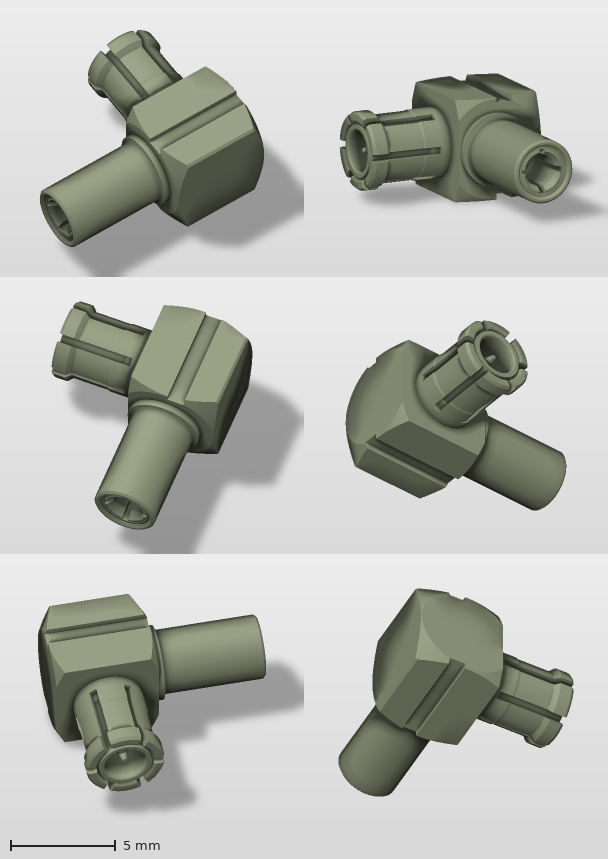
import cadquery as cq
import math


housing_size = 5.0
housing_half = housing_size / 2
housing_left = -1.91
housing_right = 2.49
back_edge_chamfer = 0.11
end_bevel_flat_radius = 2.45
end_bevel_slope = math.tan(math.radians(30))
groove_left = 0.11
groove_width = 0.83
groove_depth = 0.3

plug_end = -6.11
finger_lip_radius = 1.91
finger_neck_radius = 1.66
plug_root_radius = 1.7
finger_bore_radius = 1.39
finger_mouth_round = 0.14
finger_end_chamfer = (0.14, 0.1)
lip_back = -5.37
neck_start = -5.12
neck_end = -3.33
root_start = -3.22
finger_count = 6
finger_slot_width = 0.4
finger_slot_root = -2.4

sleeve_end = -6.07
sleeve_outer_radius = 1.28
sleeve_bore_radius = 1.01
sleeve_mouth_round = 0.11
sleeve_flare_root = -2.73

pin_end = -5.78
pin_radius = 0.27
pin_tip_radius = 0.1
pin_taper_length = 0.6

overall_length = 10.3
tube_end = housing_half - overall_length
tube_diameter = 3.1
tube_radius = tube_diameter / 2
tube_end_chamfer = 0.1
collar_radius = 1.8
collar_length = 0.32
tube_root_fillet = 0.2
tube_mouth_radius = 1.35
tube_mouth_bevel_length = 0.12
tube_bore_radius = 1.24

ferrule_recess = 0.16
ferrule_outer_radius = 1.1
ferrule_tip_outer_radius = 1.0
ferrule_tip_inner_radius = 0.96
ferrule_tip_bevel_length = 0.03
ferrule_bore_radius = 0.77
ferrule_taper_length = 0.28
ferrule_bore_depth = 2.58
ferrule_floor_radius = 0.61
ferrule_slot_count = 4
ferrule_slot_width = 0.3
ferrule_slot_depth = 2.06


def revolve(profile):
    """Spin a profile drawn as (axial position, radius) about its axial direction."""
    return profile.close().revolve(360, (0, 0, 0), (1, 0, 0))


def make_housing():
    body = (
        cq.Workplane("XY")
        .box(housing_right - housing_left, housing_size, housing_size)
        .translate(((housing_left + housing_right) / 2, 0, 0))
        .edges(">X and |Y")
        .chamfer(back_edge_chamfer)
    )

    spindle_radius = housing_size
    bevel_length = (spindle_radius - end_bevel_flat_radius) * end_bevel_slope
    spindle = revolve(
        cq.Workplane("YZ")
        .moveTo(-housing_half, 0)
        .lineTo(-housing_half, end_bevel_flat_radius)
        .lineTo(-housing_half + bevel_length, spindle_radius)
        .lineTo(housing_half - bevel_length, spindle_radius)
        .lineTo(housing_half, end_bevel_flat_radius)
        .lineTo(housing_half, 0)
    )
    body = body.intersect(spindle)

    groove = cq.Workplane("XY").box(groove_width, housing_size, 2 * groove_depth)
    groove_center = groove_left + groove_width / 2
    for z in (-housing_half, housing_half):
        body = body.cut(groove.translate((groove_center, 0, z)))
    return body


def make_fingers():
    chamfer_length, chamfer_height = finger_end_chamfer
    mouth_radius = finger_bore_radius + finger_mouth_round
    shift = finger_mouth_round * (1 - math.sqrt(0.5))
    fingers = revolve(
        cq.Workplane("XZ")
        .moveTo(plug_end, mouth_radius)
        .lineTo(plug_end, finger_lip_radius - chamfer_height)
        .lineTo(plug_end + chamfer_length, finger_lip_radius)
        .lineTo(lip_back, finger_lip_radius)
        .lineTo(neck_start, finger_neck_radius)
        .lineTo(neck_end, finger_neck_radius)
        .lineTo(root_start, plug_root_radius)
        .lineTo(housing_left, plug_root_radius)
        .lineTo(housing_left, finger_bore_radius)
        .lineTo(plug_end + finger_mouth_round, finger_bore_radius)
        .threePointArc(
            (plug_end + shift, finger_bore_radius + shift),
            (plug_end, mouth_radius),
        )
    )

    slot_length = finger_slot_root - plug_end
    slot = (
        cq.Workplane("XY")
        .box(slot_length, finger_lip_radius, finger_slot_width)
        .translate((plug_end + slot_length / 2, finger_lip_radius / 2, 0))
    )
    for index in range(finger_count):
        fingers = fingers.cut(slot.rotate((0, 0, 0), (1, 0, 0), index * 360 / finger_count))
    return fingers


def make_sleeve():
    flare_length = finger_bore_radius - sleeve_outer_radius
    mouth_radius = sleeve_bore_radius + sleeve_mouth_round
    shift = sleeve_mouth_round * (1 - math.sqrt(0.5))
    return revolve(
        cq.Workplane("XZ")
        .moveTo(sleeve_end, mouth_radius)
        .lineTo(sleeve_end, sleeve_outer_radius)
        .lineTo(sleeve_flare_root - flare_length, sleeve_outer_radius)
        .lineTo(sleeve_flare_root, finger_bore_radius)
        .lineTo(housing_left, finger_bore_radius)
        .lineTo(housing_left, sleeve_bore_radius)
        .lineTo(sleeve_end + sleeve_mouth_round, sleeve_bore_radius)
        .threePointArc(
            (sleeve_end + shift, sleeve_bore_radius + shift),
            (sleeve_end, mouth_radius),
        )
    )


def make_pin():
    return revolve(
        cq.Workplane("XZ")
        .moveTo(pin_end, 0)
        .lineTo(pin_end, pin_tip_radius)
        .lineTo(pin_end + pin_taper_length, pin_radius)
        .lineTo(housing_left, pin_radius)
        .lineTo(housing_left, 0)
    )


def make_cable_tube():
    collar_end = -housing_half - collar_length
    fillet_end = collar_end - tube_root_fillet
    fillet_shift = tube_root_fillet * (1 - math.sqrt(0.5))
    ferrule_end = tube_end + ferrule_recess
    floor = ferrule_end + ferrule_bore_depth
    floor_chamfer = ferrule_bore_radius - ferrule_floor_radius

    tube = revolve(
        cq.Workplane("YZ")
        .moveTo(-housing_half, 0)
        .lineTo(-housing_half, collar_radius)
        .lineTo(collar_end, collar_radius)
        .lineTo(collar_end, tube_radius + tube_root_fillet)
        .threePointArc(
            (collar_end - fillet_shift, tube_radius + fillet_shift),
            (fillet_end, tube_radius),
        )
        .lineTo(tube_end + tube_end_chamfer, tube_radius)
        .lineTo(tube_end, tube_radius - tube_end_chamfer)
        .lineTo(tube_end, tube_mouth_radius)
        .lineTo(tube_end + tube_mouth_bevel_length, tube_bore_radius)
        .lineTo(ferrule_end, tube_bore_radius)
        .lineTo(ferrule_end, ferrule_outer_radius)
        .lineTo(ferrule_end + ferrule_tip_bevel_length, ferrule_outer_radius)
        .lineTo(ferrule_end, ferrule_tip_outer_radius)
        .lineTo(ferrule_end, ferrule_tip_inner_radius)
        .lineTo(ferrule_end + ferrule_taper_length, ferrule_bore_radius)
        .lineTo(floor - floor_chamfer, ferrule_bore_radius)
        .lineTo(floor, ferrule_floor_radius)
        .lineTo(floor, 0)
    )

    slot_plane = cq.Workplane("XZ", origin=(0, ferrule_end, 0))
    slot_limit = slot_plane.circle(ferrule_outer_radius).extrude(-ferrule_slot_depth)
    slot_pair = (
        slot_plane.rect(2 * ferrule_outer_radius, ferrule_slot_width)
        .extrude(-ferrule_slot_depth)
        .intersect(slot_limit)
    )
    for index in range(ferrule_slot_count // 2):
        tube = tube.cut(slot_pair.rotate((0, 0, 0), (0, 1, 0), index * 360 / ferrule_slot_count))
    return tube


plug = make_fingers().union(make_sleeve()).union(make_pin())
result = make_housing().union(plug).union(make_cable_tube())